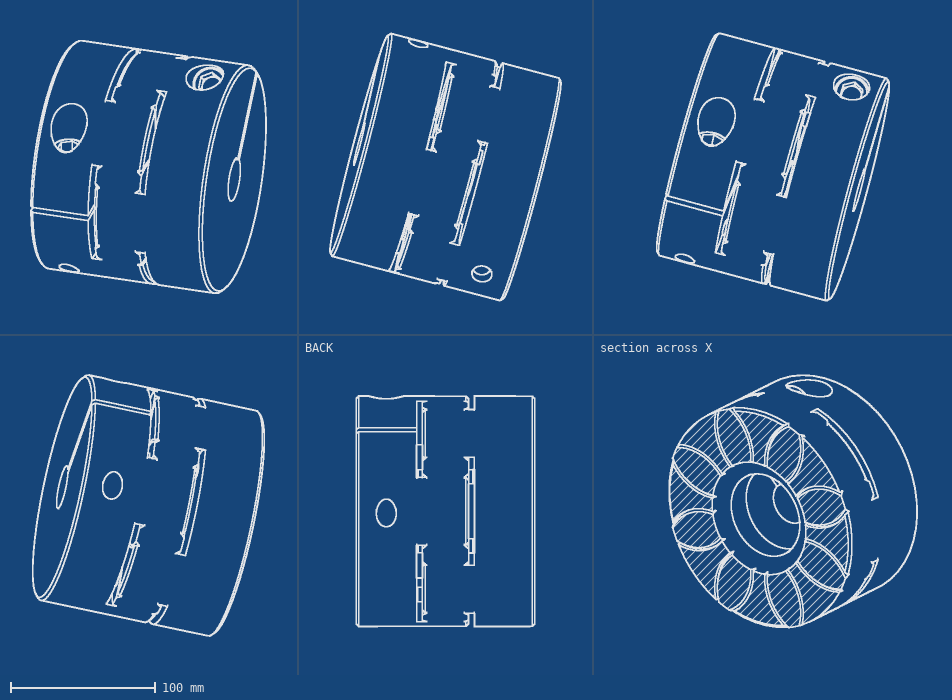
import cadquery as cq
import math


OUTER_DIAMETER = 160.0
LENGTH = 124.0
RIM_CHAMFER = 2.0
SHAFT_BORE_DIAMETER = 30.0

HUB_LENGTH = 42.0
GAP_WIDTH = 4.0
POCKET_DIAMETER = 77.0
POCKET_CIRCLE_RADIUS = 61.6
POCKET_COUNT = 4
GAP_BORE_RADIUS = 46.4

DISC_BORE_DIAMETER = 60.0
DISC_CHAMFER = 2.0
DISH_FLOOR_RADIUS = 33.3
DISH_DEPTH = 7.5
GROOVE_WIDTH = 2.0
GROOVE_DEPTH = 3.0

PAD_COUNT = 2 * POCKET_COUNT
BOSS_DIAMETER = 10.0
BOSS_CIRCLE_RADIUS = 62.4
BOSS_HEIGHT = 3.0

SLIT_WIDTH = 4.0
SCREW_OFFSET = 55.4
HEAD_HOLE_DIAMETER = 25.0
CLEARANCE_DIAMETER = 17.0
THREAD_DIAMETER = 13.8
SEAT_HEIGHT = 24.0

HEAD_DIAMETER = 24.0
HEAD_HEIGHT = 16.0
HEAD_CHAMFER = 1.3
SHANK_DIAMETER = 16.0
SHANK_LENGTH = 50.0
SOCKET_WIDTH = 14.0
SOCKET_DEPTH = 8.0
SOCKET_CONE_DEPTH = 4.0

OUTER_RADIUS = OUTER_DIAMETER / 2
POCKET_RADIUS = POCKET_DIAMETER / 2
LEFT_END_X = -LENGTH / 2
HUB_FACE_X = LEFT_END_X + HUB_LENGTH
DISC_FACE_X = HUB_FACE_X + GAP_WIDTH
SCREW_X = LEFT_END_X + HUB_LENGTH / 2
PITCH_ANGLE = 360.0 / POCKET_COUNT
HALF_PITCH = PITCH_ANGLE / 2
BOSS_ANGLE = HALF_PITCH / 2
TURN_ANGLE = PITCH_ANGLE + BOSS_ANGLE
TURN_AXIS = (0, math.cos(math.radians(TURN_ANGLE)), math.sin(math.radians(TURN_ANGLE)))


def turned_to_right(shape):
    """Turn a shape of the left half into its place on the right half."""
    return shape.rotate((0, 0, 0), TURN_AXIS, 180)


def around_axis(shape, angle):
    """Turn a shape about the coupling axis, from +Y towards +Z."""
    return shape.rotate((0, 0, 0), (1, 0, 0), angle)


def x_cylinder(radius, x_start, length, y=0.0):
    """Cylinder along +X, its axis at the given Y and at Z = 0."""
    return cq.Workplane("YZ", origin=(x_start, y, 0)).circle(radius).extrude(length)


def z_cylinder(diameter, bottom, top):
    """Cylinder on the left clamp screw axis between two heights."""
    plane = cq.Workplane("XY", origin=(SCREW_X, -SCREW_OFFSET, bottom))
    return plane.circle(diameter / 2).extrude(top - bottom)


def gap_cutter():
    """Slot between hub and disc: four round pockets and a bore, leaving four posts at the rim."""
    cutter = x_cylinder(GAP_BORE_RADIUS, HUB_FACE_X, GAP_WIDTH)
    pocket = x_cylinder(POCKET_RADIUS, HUB_FACE_X, GAP_WIDTH, POCKET_CIRCLE_RADIUS)
    for i in range(POCKET_COUNT):
        cutter = cutter.union(around_axis(pocket, i * PITCH_ANGLE))
    return cutter


def dish_cutter():
    """Recess in the disc face whose wall is a quarter round running out to the flat floor."""
    floor_x = DISC_FACE_X + DISH_DEPTH
    arc_drop = DISH_DEPTH * math.sqrt(0.5)
    return (
        cq.Workplane("XY")
        .moveTo(DISC_FACE_X, 0)
        .lineTo(DISC_FACE_X, DISH_FLOOR_RADIUS + DISH_DEPTH)
        .threePointArc((DISC_FACE_X + arc_drop, DISH_FLOOR_RADIUS + arc_drop), (floor_x, DISH_FLOOR_RADIUS))
        .lineTo(floor_x, 0)
        .close()
        .revolve(360, (0, 0, 0), (1, 0, 0))
    )


def pad_groove_cutter():
    """V-groove just inside the lens shared by the pocket circle at 0 degrees and the one at HALF_PITCH."""
    ring = (
        cq.Workplane("XY")
        .polyline([
            (DISC_FACE_X, POCKET_CIRCLE_RADIUS + POCKET_RADIUS - GROOVE_WIDTH),
            (DISC_FACE_X, POCKET_CIRCLE_RADIUS + POCKET_RADIUS),
            (DISC_FACE_X + GROOVE_DEPTH, POCKET_CIRCLE_RADIUS + POCKET_RADIUS),
        ])
        .close()
        .revolve(360, (0, POCKET_CIRCLE_RADIUS, 0), (1, POCKET_CIRCLE_RADIUS, 0))
    )
    circle = x_cylinder(POCKET_RADIUS, DISC_FACE_X, GROOVE_DEPTH, POCKET_CIRCLE_RADIUS)
    first_side = ring.intersect(around_axis(circle, HALF_PITCH))
    second_side = around_axis(ring, HALF_PITCH).intersect(circle)
    return first_side.union(second_side)


def disc_chamfer_cutter():
    """Rim chamfer of the disc, only in the sectors in front of the opposite half's posts."""
    band = (
        cq.Workplane("XY")
        .polyline([
            (DISC_FACE_X, OUTER_RADIUS - DISC_CHAMFER),
            (DISC_FACE_X, OUTER_RADIUS),
            (DISC_FACE_X + DISC_CHAMFER, OUTER_RADIUS),
        ])
        .close()
        .revolve(360, (0, 0, 0), (1, 0, 0))
    )
    pocket = x_cylinder(POCKET_RADIUS, DISC_FACE_X, DISC_CHAMFER, POCKET_CIRCLE_RADIUS)
    for i in range(POCKET_COUNT):
        band = band.cut(around_axis(pocket, HALF_PITCH + i * PITCH_ANGLE))
    gap_sectors = pocket
    for i in range(1, POCKET_COUNT):
        gap_sectors = gap_sectors.union(around_axis(pocket, i * PITCH_ANGLE))
    return band.intersect(gap_sectors)


def clamp_cutter():
    """Slit from the bore to the rim at -Y, and the stepped screw hole across it along Z."""
    slit = cq.Workplane("XY").box(HUB_LENGTH, OUTER_RADIUS, SLIT_WIDTH)
    slit = slit.translate((SCREW_X, -OUTER_RADIUS / 2, 0))
    head_hole = z_cylinder(HEAD_HOLE_DIAMETER, SEAT_HEIGHT, OUTER_RADIUS)
    clearance = z_cylinder(CLEARANCE_DIAMETER, -SLIT_WIDTH / 2, SEAT_HEIGHT)
    thread = z_cylinder(THREAD_DIAMETER, -OUTER_RADIUS, -SLIT_WIDTH / 2)
    return slit.union(head_hole).union(clearance).union(thread)


def boss():
    """Round boss standing on the disc face, before it is turned to its place."""
    return x_cylinder(BOSS_DIAMETER / 2, DISC_FACE_X - BOSS_HEIGHT, BOSS_HEIGHT, BOSS_CIRCLE_RADIUS)


def make_clamp_screw():
    """Socket head screw of the left hub; its thread fills the tapped hole below the slit."""
    head_top = SEAT_HEIGHT + HEAD_HEIGHT
    head = z_cylinder(HEAD_DIAMETER, SEAT_HEIGHT, head_top).faces(">Z").chamfer(HEAD_CHAMFER)
    shank = z_cylinder(SHANK_DIAMETER, -SLIT_WIDTH / 2, SEAT_HEIGHT)
    thread = z_cylinder(THREAD_DIAMETER, SEAT_HEIGHT - SHANK_LENGTH, -SLIT_WIDTH / 2)
    socket_top = cq.Workplane("XY", origin=(SCREW_X, -SCREW_OFFSET, head_top))
    corner_diameter = SOCKET_WIDTH / math.cos(math.pi / 6)
    socket = socket_top.transformed(rotate=(0, 0, 90)).polygon(6, corner_diameter).extrude(-SOCKET_DEPTH)
    cone = cq.Workplane(cq.Solid.makeCone(
        SOCKET_WIDTH / 2, 0, SOCKET_CONE_DEPTH,
        pnt=cq.Vector(SCREW_X, -SCREW_OFFSET, head_top - SOCKET_DEPTH), dir=cq.Vector(0, 0, -1),
    ))
    return head.union(shank).union(thread).cut(socket).cut(cone)


def make_coupling():
    """One-piece coupling: two clamp hubs joined to the middle disc by posts."""
    body = x_cylinder(OUTER_RADIUS, LEFT_END_X, LENGTH).faces("<X or >X").chamfer(RIM_CHAMFER)
    body = body.cut(x_cylinder(SHAFT_BORE_DIAMETER / 2, LEFT_END_X, LENGTH))
    body = body.cut(x_cylinder(DISC_BORE_DIAMETER / 2, DISC_FACE_X, -2 * DISC_FACE_X))

    cutters = [gap_cutter(), dish_cutter(), disc_chamfer_cutter(), clamp_cutter()]
    groove = pad_groove_cutter()
    cutters += [around_axis(groove, i * HALF_PITCH) for i in range(PAD_COUNT)]
    for cutter in cutters:
        body = body.cut(cutter).cut(turned_to_right(cutter))

    for i in range(POCKET_COUNT):
        placed_boss = around_axis(boss(), BOSS_ANGLE + i * PITCH_ANGLE)
        body = body.union(placed_boss).union(turned_to_right(placed_boss))
    return body


clamp_screw = make_clamp_screw()

coupling = make_coupling().union(clamp_screw)
right_screw = turned_to_right(clamp_screw)

result = cq.Compound.makeCompound([coupling.solids().val(), right_screw.solids().val()])